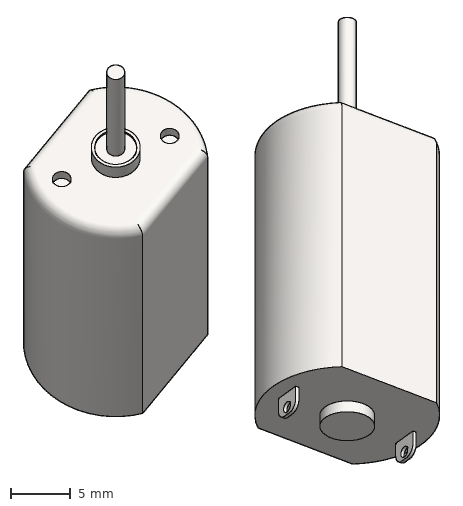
import cadquery as cq
import math

total_height = 40.9
can_bottom = 2.15
can_top = 28.65
front_boss_top = 30.1

can_diameter = 15.45
can_width = 12.0
can_edge_radius = 1.0

shaft_diameter = 1.5
front_boss_diameter = 4.1
bearing_recess_diameter = 3.5
bearing_recess_depth = 0.2
rear_boss_diameter = 4.6
rear_boss_height = 1.05

mount_hole_diameter = 1.55
mount_hole_depth = 1.0
mount_circle_radius = 5.05
mount_hole_angles = (60, 240)

terminal_width = 2.45
terminal_thickness = 0.33
terminal_corner_radius = 0.9
terminal_offset = 6.05
terminal_hole_diameter = 1.0
terminal_hole_height = 0.75


def cylinder(diameter, bottom, top):
    """Upright cylinder on the motor axis."""
    return cq.Workplane("XY").workplane(offset=bottom).circle(diameter / 2).extrude(top - bottom)


def make_can():
    """Can with two flat sides and a rounded front edge."""
    height = can_top - can_bottom
    flats = (
        cq.Workplane("XY")
        .workplane(offset=can_bottom)
        .rect(can_width, 2 * can_diameter)
        .extrude(height)
    )
    can = cylinder(can_diameter, can_bottom, can_top).intersect(flats)
    return can.faces(">Z").edges().fillet(can_edge_radius)


def make_mount_holes():
    """Blind holes on opposite sides of the shaft."""
    centers = [
        (
            mount_circle_radius * math.cos(math.radians(angle)),
            mount_circle_radius * math.sin(math.radians(angle)),
        )
        for angle in mount_hole_angles
    ]
    return (
        cq.Workplane("XY")
        .workplane(offset=can_top)
        .pushPoints(centers)
        .circle(mount_hole_diameter / 2)
        .extrude(-mount_hole_depth)
    )


def make_terminal(center_y):
    """Thin upright tab with rounded lower corners and a wire hole."""
    tab = (
        cq.Workplane("XY")
        .box(terminal_width, terminal_thickness, can_bottom, centered=(True, True, False))
        .faces("<Z")
        .edges("|Y")
        .fillet(terminal_corner_radius)
    )
    wire_hole = (
        cq.Workplane("XZ")
        .center(0, terminal_hole_height)
        .circle(terminal_hole_diameter / 2)
        .extrude(terminal_thickness, both=True)
    )
    return tab.cut(wire_hole).translate((0, center_y, 0))


result = make_can().cut(make_mount_holes())
result = result.union(cylinder(front_boss_diameter, can_top, front_boss_top))
result = result.union(cylinder(rear_boss_diameter, can_bottom - rear_boss_height, can_bottom))

recess_floor = front_boss_top - bearing_recess_depth
result = result.cut(cylinder(bearing_recess_diameter, recess_floor, front_boss_top))
result = result.union(cylinder(shaft_diameter, recess_floor, total_height))

for side in (-1, 1):
    result = result.union(make_terminal(side * terminal_offset))